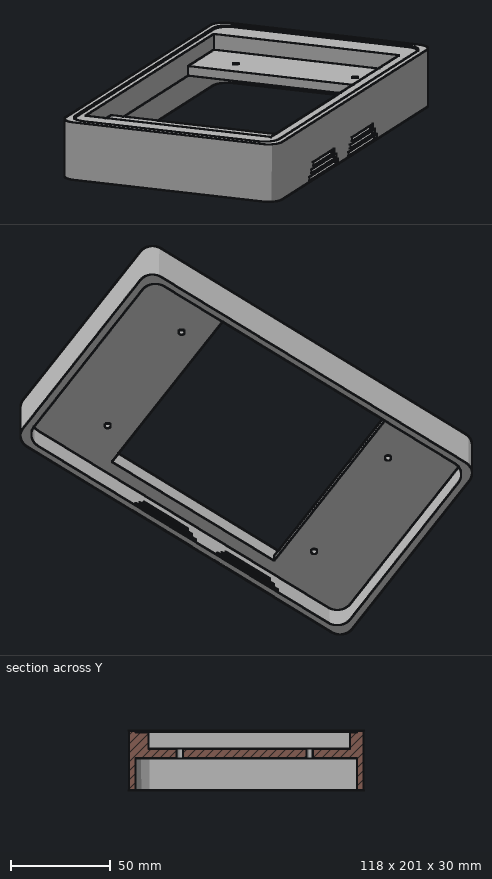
import cadquery as cq

length_x = 118.0
length_y = 201.0
height = 30.0
corner_radius = 7.5
inner_corner_radius = 8.0
side_wall = 3.5
end_wall = 4.0
inner_x = length_x - 2 * side_wall
inner_y = length_y - 2 * end_wall

recess_depth = 0.8
cavity_top = 16.0

opening_x = 101.0
opening_y = 165.0
opening_center = (-1.5, -1.5)
pocket_depth = 8.2
bar_width = 33.0
bar_top = height - recess_depth - pocket_depth

screw_diameter = 3.0
screw_pitch_x = 65.0
screw_pitch_y = 126.0
screw_center = (0.75, -1.5)

grille_centers_y = (10.5, -39.5)
slot_count = 3
slot_height = 2.0
slot_pitch = 3.25
lowest_slot_z = 1.75
lowest_slot_length = 37.0
slot_shortening = 5.0


def rounded_block(size_x, size_y, radius, z_low, z_high):
    """Upright block centred on the Z axis with rounded vertical edges."""
    block = cq.Workplane("XY").workplane(offset=z_low).rect(size_x, size_y).extrude(z_high - z_low)
    return block.edges("|Z").fillet(radius)


def opening_block(size_y, z_low, z_high):
    """Sharp-cornered cutter for one step of the deck opening."""
    plane = cq.Workplane("XY").workplane(offset=z_low).center(*opening_center)
    return plane.rect(opening_x, size_y).extrude(z_high - z_low)


def screw_holes():
    """Four vertical cutters for the screws in the mounting bars."""
    plane = cq.Workplane("XY").center(*screw_center)
    return plane.rarray(screw_pitch_x, screw_pitch_y, 2, 2).circle(screw_diameter / 2).extrude(height)


def grille_slots(center_y):
    """Stack of horizontal slot cutters reaching through the +X wall."""
    slots = cq.Workplane("YZ").workplane(offset=inner_x / 2)
    for row in range(slot_count):
        slot_length = lowest_slot_length - row * slot_shortening
        slot_z = lowest_slot_z + row * slot_pitch
        slots = slots.moveTo(center_y, slot_z).rect(slot_length, slot_height)
    return slots.extrude(side_wall)


result = rounded_block(length_x, length_y, corner_radius, 0, height)
result = result.cut(rounded_block(inner_x, inner_y, inner_corner_radius, height - recess_depth, height))
result = result.cut(rounded_block(inner_x, inner_y, inner_corner_radius, 0, cavity_top))
result = result.cut(opening_block(opening_y, bar_top, height))
result = result.cut(opening_block(opening_y - 2 * bar_width, 0, height))
result = result.cut(screw_holes())
for grille_y in grille_centers_y:
    result = result.cut(grille_slots(grille_y))